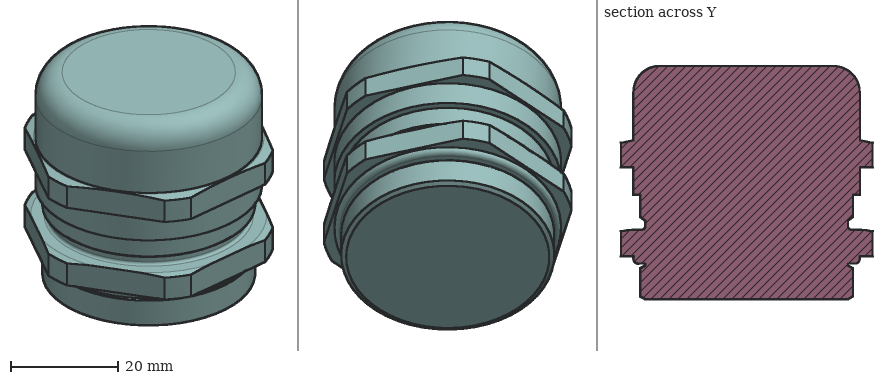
import cadquery as cq
import math


thread_diameter = 39.73
neck_diameter = 37.87
cap_diameter = 42.3
hex_sides = 6
hex_across_flats = 43.0
hex_corner_diameter = 47.0
lower_bevel_diameter = 44.0
upper_bevel_diameter = hex_across_flats

thread_top = 6.3
seal_bottom = 6.6
lower_hex_bottom = 8.0
hex_height = 5.0
collar_bottom = 14.65
cap_bottom = 19.45
upper_hex_bottom = 24.6
total_height = 43.51

thread_chamfer_height = 0.5
collar_chamfer_height = 0.65
seal_section_radius = 1.0
neck_fillet = 0.6
cap_fillet = 5.0
hex_bevel_angle = 12.0

thread_radius = thread_diameter / 2
neck_radius = neck_diameter / 2
cap_radius = cap_diameter / 2
lower_hex_top = lower_hex_bottom + hex_height


def arc_midpoint(center_r, center_z, radius, sign_r, sign_z):
    """Middle point of a quarter arc lying in the given quadrant of its centre."""
    offset = radius * math.sqrt(0.5)
    return (center_r + sign_r * offset, center_z + sign_z * offset)


def round_body():
    """Entry thread, seal ring, neck, collar and domed cap as one revolved profile."""
    seal_center_radius = cap_radius - seal_section_radius
    seal_center_height = seal_bottom + seal_section_radius
    seal_rise = lower_hex_bottom - seal_center_height
    seal_top_radius = seal_center_radius + math.sqrt(seal_section_radius**2 - seal_rise**2)
    neck_center = (neck_radius + neck_fillet, lower_hex_top + neck_fillet)
    cap_center = (cap_radius - cap_fillet, total_height - cap_fillet)
    profile = (
        cq.Workplane("XZ")
        .moveTo(0, 0)
        .lineTo(neck_radius, 0)
        .lineTo(thread_radius, thread_chamfer_height)
        .lineTo(thread_radius, thread_top - thread_chamfer_height)
        .lineTo(neck_radius, thread_top)
        .lineTo(neck_radius, seal_bottom)
        .lineTo(seal_center_radius, seal_bottom)
        .threePointArc((cap_radius, seal_center_height), (seal_top_radius, lower_hex_bottom))
        .lineTo(seal_top_radius, lower_hex_top)
        .lineTo(neck_center[0], lower_hex_top)
        .threePointArc(
            arc_midpoint(*neck_center, neck_fillet, -1, -1),
            (neck_radius, neck_center[1]),
        )
        .lineTo(neck_radius, collar_bottom)
        .lineTo(thread_radius, collar_bottom + collar_chamfer_height)
        .lineTo(thread_radius, cap_bottom)
        .lineTo(cap_radius, cap_bottom)
        .lineTo(cap_radius, cap_center[1])
        .threePointArc(
            arc_midpoint(*cap_center, cap_fillet, 1, 1),
            (cap_center[0], total_height),
        )
        .lineTo(0, total_height)
        .close()
    )
    return profile.revolve(360, (0, 0, 0), (0, 1, 0))


def hex_nut(bottom, bevel_diameter):
    """Hexagon with flats facing +-Y, corners turned round and top bevelled outside the bevel circle."""
    bevel_radius = bevel_diameter / 2
    corner_radius = hex_corner_diameter / 2
    across_corners = hex_across_flats / math.cos(math.pi / hex_sides)
    bevel_drop = (corner_radius - bevel_radius) * math.tan(math.radians(hex_bevel_angle))
    hexagon = cq.Workplane("XY").polygon(hex_sides, across_corners).extrude(hex_height)
    turned_blank = (
        cq.Workplane("XZ")
        .moveTo(0, 0)
        .lineTo(corner_radius, 0)
        .lineTo(corner_radius, hex_height - bevel_drop)
        .lineTo(bevel_radius, hex_height)
        .lineTo(0, hex_height)
        .close()
        .revolve(360, (0, 0, 0), (0, 1, 0))
    )
    return hexagon.intersect(turned_blank).translate((0, 0, bottom))


lower_hex = hex_nut(lower_hex_bottom, lower_bevel_diameter)
upper_hex = hex_nut(upper_hex_bottom, upper_bevel_diameter)
result = round_body().union(lower_hex).union(upper_hex)